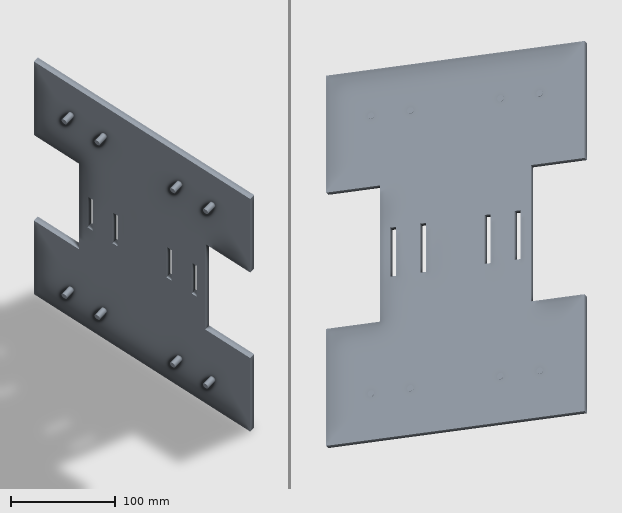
import cadquery as cq

plate_height = 380.0
plate_width = 262.0
plate_thickness = 6.0
waist_width = 152.8
waist_height = 140.0

slot_width = 6.0
slot_height = 50.0
slot_offsets = (32.5, 63.0)

pin_diameter = 6.5
pin_front_projection = 11.0
pin_back_projection = 0.5
pin_length = pin_back_projection + plate_thickness + pin_front_projection
pin_offsets = (45.5, 85.5)
pin_row_height = 142.5


def mirrored(offsets):
    """Return every offset on both sides of the centre plane."""
    return [side * offset for side in (-1, 1) for offset in offsets]


def pin_cylinders(x_places, z):
    """Full-length pin cylinders, from just behind the plate toward -Y."""
    return (
        cq.Workplane("XZ", origin=(0, pin_back_projection, 0))
        .pushPoints([(x, z) for x in x_places])
        .circle(pin_diameter / 2)
        .extrude(pin_length)
    )


def make_plate():
    """Waisted plate, back face on Y = 0, with slots, upper pin holes and integral lower pins."""
    waist = cq.Workplane("XZ").rect(waist_width, plate_height).extrude(plate_thickness)
    end_height = (plate_height - waist_height) / 2
    end_centre = (waist_height + end_height) / 2
    ends = (
        cq.Workplane("XZ")
        .pushPoints([(0, -end_centre), (0, end_centre)])
        .rect(plate_width, end_height)
        .extrude(plate_thickness)
    )
    slots = (
        cq.Workplane("XZ")
        .pushPoints([(x, 0) for x in mirrored(slot_offsets)])
        .rect(slot_width, slot_height)
        .extrude(plate_thickness)
    )
    pin_holes = pin_cylinders(mirrored(pin_offsets), pin_row_height)
    lower_pins = pin_cylinders(mirrored(pin_offsets), -pin_row_height)
    return waist.union(ends).cut(slots).cut(pin_holes).union(lower_pins)


def make_pin(x):
    """Upper pin, passing through the plate and standing slightly proud of its back face."""
    return pin_cylinders([x], pin_row_height)


plate = make_plate()
pins = [make_pin(x).val() for x in mirrored(pin_offsets)]

result = cq.Compound.makeCompound([plate.val(), *pins])